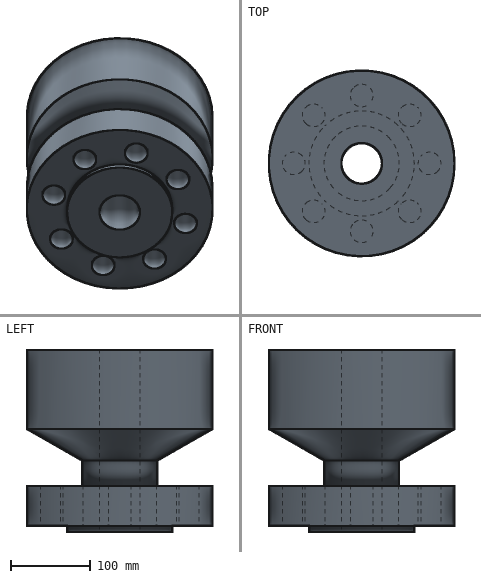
import cadquery as cq

outer_diameter = 234.9
drum_height = 99.8
cone_height = 40.0

neck_diameter = 95.0
neck_height = 32.2

flange_thickness = 50.5
face_diameter = 133.0
face_height = 7.8
bolt_count = 8
bolt_circle_diameter = 171.5
bolt_hole_diameter = 28.7

bore_diameter = 51.0

flange_bottom = face_height
flange_top = flange_bottom + flange_thickness
neck_top = flange_top + neck_height
cone_top = neck_top + cone_height
drum_top = cone_top + drum_height


def turned_body():
    """Revolve the half profile, bore included, about the Z axis."""
    bore_radius = bore_diameter / 2
    outer_radius = outer_diameter / 2
    neck_radius = neck_diameter / 2
    face_radius = face_diameter / 2
    profile = [
        (bore_radius, 0),
        (face_radius, 0),
        (face_radius, flange_bottom),
        (outer_radius, flange_bottom),
        (outer_radius, flange_top),
        (neck_radius, flange_top),
        (neck_radius, neck_top),
        (outer_radius, cone_top),
        (outer_radius, drum_top),
        (bore_radius, drum_top),
    ]
    return cq.Workplane("XZ").polyline(profile).close().revolve(360, (0, 0, 0), (0, 1, 0))


def bolt_holes():
    """Ring of through holes in the flange only."""
    return (
        cq.Workplane("XY", origin=(0, 0, flange_bottom))
        .polarArray(bolt_circle_diameter / 2, 0, 360, bolt_count)
        .circle(bolt_hole_diameter / 2)
        .extrude(flange_thickness)
    )


result = turned_body().cut(bolt_holes())